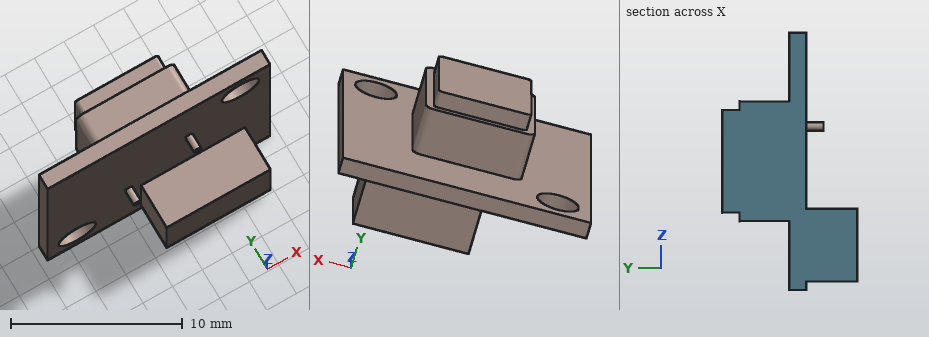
import cadquery as cq

board_side = 15.0
board_thickness = 1.0

mount_hole_diameter = 2.5
mount_hole_offset = 5.5

connector_width = 7.0
connector_height = 4.25
connector_depth = 2.96
connector_center_x = 2.3
connector_center_z = -4.87

body_width = 6.6
body_height = 7.0
body_depth = 2.9
body_corner_radius = 0.5
cap_width = 5.6
cap_height = 6.0
cap_depth = 1.0
cap_corner_radius = 0.25

pin_diameter = 0.5
pin_length = 1.0
pin_offset = 2.03


def block(width, height, y_start, depth, center_x=0.0, center_z=0.0):
    """Box that starts at y_start and extends by depth along +Y."""
    box = cq.Workplane("XY").box(width, depth, height)
    return box.translate((center_x, y_start + depth / 2, center_z))


def cylinder(diameter, y_start, length, center_x, center_z):
    """Cylinder that starts at y_start and extends by length along +Y."""
    axis_start = cq.Vector(center_x, y_start, center_z)
    return cq.Workplane(cq.Solid.makeCylinder(diameter / 2, length, axis_start, cq.Vector(0, 1, 0)))


def make_board():
    board = block(board_side, board_side, 0, board_thickness)
    for side in (-1, 1):
        offset = side * mount_hole_offset
        board = board.cut(cylinder(mount_hole_diameter, 0, board_thickness, offset, offset))
    return board


def make_connector():
    return block(
        connector_width,
        connector_height,
        -connector_depth,
        connector_depth,
        connector_center_x,
        connector_center_z,
    )


def make_rear_component():
    body = block(body_width, body_height, board_thickness, body_depth)
    body = body.edges("|Y").fillet(body_corner_radius)
    cap = block(cap_width, cap_height, board_thickness + body_depth, cap_depth)
    cap = cap.edges("|Y").fillet(cap_corner_radius)
    return body.union(cap)


def add_pins(part):
    for side in (-1, 1):
        offset = side * pin_offset
        part = part.union(cylinder(pin_diameter, -pin_length, pin_length, offset, offset))
    return part


result = add_pins(make_board().union(make_connector()).union(make_rear_component()))